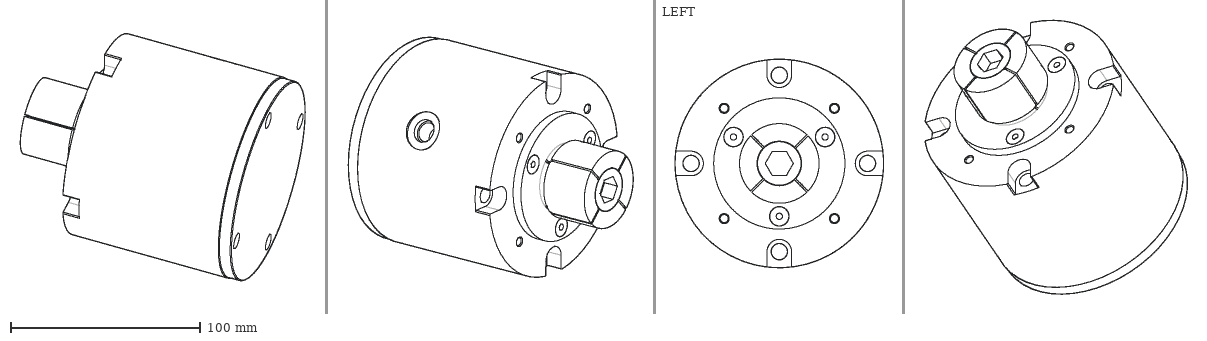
import cadquery as cq
import math

overall_length = 132.3
body_diameter = 110.2
nose_length = 27.1
neck_length = 4.6
flange_length = 5.3
cover_length = 6.6

body_radius = body_diameter / 2
nose_radius = 21.0
flange_radius = 34.7
cover_step = 0.46
cover_radius = body_radius - cover_step
cover_chamfer = 0.5

flange_face_x = -flange_length
nose_back_x = flange_face_x - neck_length
nose_face_x = nose_back_x - nose_length
body_back_x = nose_face_x + overall_length
body_end_x = body_back_x - cover_length

neck_radius = 16.1
neck_front_run = 2.1
neck_front_blend = 4.2
neck_rear_blend = neck_length - neck_front_run

slit_width = 0.9
slit_angles = [45, 135, 225, 315]
screw_bore_radius = 11.8
screw_head_radius = 11.5
screw_head_height = 10.6
socket_across_flats = 12.8
socket_depth = 8.6

flange_screw_circle_radius = 27.9
flange_screw_angles = [30, 150, 270]
flange_screw_bore_radius = 5.2
flange_screw_head_radius = 5.0
flange_screw_head_height = 4.0
flange_screw_socket_diameter = 3.3
flange_screw_socket_depth = 2.6

mount_circle_radius = 46.6
mount_hole_diameter = 8.5
mount_slot_width = 13.0
mount_slot_depth = 9.4
mount_slot_chamfer_width = 0.8
mount_slot_chamfer_height = 0.4
mount_angles = [0, 90, 180, 270]

tapped_hole_offset = 29.1
tapped_hole_radius = 2.1
tapped_hole_chamfer = 0.5
tapped_hole_depth = 10.6
drill_point_half_angle = 59

port_x = 50.3
port_elevation = 30
port_face_diameter = 20.8
port_face_radius = 53.9
port_diameter = 12.3
port_depth = 3.0
port_inner_diameter = 10.3
port_total_depth = 13.2

cut_clearance = 1.3


def face_plane(x):
    """Plane normal to the axis at x, looking towards +X: local x is Y, local y is Z."""
    return cq.Workplane(cq.Plane(origin=(x, 0, 0), xDir=(0, 1, 0), normal=(1, 0, 0)))


def polar_points(radius, angles):
    return [
        (radius * math.cos(math.radians(angle)), radius * math.sin(math.radians(angle)))
        for angle in angles
    ]


def turned_profile():
    """Half section of nose, neck, flange, body and rear cover, revolved about X."""
    neck_x = nose_back_x + neck_front_run
    neck_front_angle = math.asin(neck_front_run / neck_front_blend)

    def front_arc_point(angle):
        return (
            neck_x - neck_front_blend * math.sin(angle),
            neck_radius + neck_front_blend * (1 - math.cos(angle)),
        )

    half_quarter = math.cos(math.radians(45))
    rear_arc_middle = (
        neck_x + neck_rear_blend * half_quarter,
        neck_radius + neck_rear_blend * (1 - half_quarter),
    )
    return (
        cq.Workplane("XY")
        .moveTo(nose_face_x, 0)
        .lineTo(nose_face_x, nose_radius)
        .lineTo(nose_back_x, nose_radius)
        .lineTo(*front_arc_point(neck_front_angle))
        .threePointArc(front_arc_point(neck_front_angle / 2), (neck_x, neck_radius))
        .threePointArc(rear_arc_middle, (flange_face_x, neck_radius + neck_rear_blend))
        .lineTo(flange_face_x, flange_radius)
        .lineTo(0, flange_radius)
        .lineTo(0, body_radius)
        .lineTo(body_end_x - cover_step, body_radius)
        .lineTo(body_end_x, cover_radius)
        .lineTo(body_back_x - cover_chamfer, cover_radius)
        .lineTo(body_back_x, cover_radius - cover_chamfer)
        .lineTo(body_back_x, 0)
        .close()
        .revolve(360, (0, 0, 0), (1, 0, 0))
    )


def nose_slits():
    """Radial slits from the screw bore outwards, over the full length of nose and neck."""
    length = nose_length + neck_length
    outer_radius = nose_radius + cut_clearance
    centre_radius = (screw_head_radius + outer_radius) / 2
    slits = cq.Workplane("XY")
    for angle in slit_angles:
        slit = (
            face_plane(nose_face_x)
            .center(centre_radius, 0)
            .rect(outer_radius - screw_head_radius, slit_width)
            .extrude(length)
            .rotate((0, 0, 0), (1, 0, 0), angle)
        )
        slits = slits.add(slit)
    return slits.combine()


def clamping_screw():
    """Clearance ring around the screw head and the hexagon socket in it."""
    ring = (
        face_plane(nose_face_x)
        .circle(screw_bore_radius)
        .circle(screw_head_radius)
        .extrude(screw_head_height)
    )
    socket_across_corners = socket_across_flats / math.cos(math.radians(30))
    socket = face_plane(nose_face_x).polygon(6, socket_across_corners).extrude(socket_depth)
    return ring.union(socket)


def flange_screws():
    """Clearance rings and sockets of the flush screws."""
    centres = polar_points(flange_screw_circle_radius, flange_screw_angles)
    bores = (
        face_plane(flange_face_x)
        .pushPoints(centres)
        .circle(flange_screw_bore_radius)
        .extrude(flange_screw_head_height)
    )
    heads = (
        face_plane(flange_face_x)
        .pushPoints(centres)
        .circle(flange_screw_head_radius)
        .extrude(flange_screw_head_height)
    )
    sockets = (
        face_plane(flange_face_x)
        .pushPoints(centres)
        .circle(flange_screw_socket_diameter / 2)
        .extrude(flange_screw_socket_depth)
    )
    return bores.cut(heads).union(sockets)


def mounting_slots():
    """Round-ended slots with chamfered outer edges, each with a hole through the whole body."""
    half_width = mount_slot_width / 2
    flare_half_width = half_width + mount_slot_chamfer_width
    flare_top = math.sqrt(body_radius**2 - flare_half_width**2)
    flare_bottom = flare_top - mount_slot_chamfer_height
    outside = body_radius + cut_clearance
    slots = cq.Workplane("XY")
    for angle in mount_angles:
        slot = (
            face_plane(0)
            .moveTo(-half_width, mount_circle_radius)
            .threePointArc((0, mount_circle_radius - half_width), (half_width, mount_circle_radius))
            .lineTo(half_width, flare_bottom)
            .lineTo(flare_half_width, flare_top)
            .lineTo(flare_half_width, outside)
            .lineTo(-flare_half_width, outside)
            .lineTo(-flare_half_width, flare_top)
            .lineTo(-half_width, flare_bottom)
            .close()
            .extrude(mount_slot_depth)
        )
        hole = (
            face_plane(0)
            .center(0, mount_circle_radius)
            .circle(mount_hole_diameter / 2)
            .extrude(body_back_x)
        )
        slots = slots.add(slot.union(hole).rotate((0, 0, 0), (1, 0, 0), angle))
    return slots.combine()


def tapped_holes():
    """Chamfered blind holes with a drill point, one in each quadrant of the front face."""
    mouth_radius = tapped_hole_radius + tapped_hole_chamfer
    point_depth = tapped_hole_radius / math.tan(math.radians(drill_point_half_angle))
    hole = (
        cq.Workplane("XY")
        .polyline([
            (0, 0),
            (0, mouth_radius),
            (tapped_hole_chamfer, tapped_hole_radius),
            (tapped_hole_depth, tapped_hole_radius),
            (tapped_hole_depth + point_depth, 0),
        ])
        .close()
        .revolve(360, (0, 0, 0), (1, 0, 0))
    )
    holes = cq.Workplane("XY")
    for y in (-tapped_hole_offset, tapped_hole_offset):
        for z in (-tapped_hole_offset, tapped_hole_offset):
            holes = holes.add(hole.translate((0, y, z)))
    return holes.combine()


def cable_port():
    """Spot face and stepped bore on an inclined radial axis."""
    elevation = math.radians(port_elevation)
    outward = cq.Vector(0, math.cos(elevation), math.sin(elevation))
    seat = cq.Plane(
        origin=(outward * port_face_radius + cq.Vector(port_x, 0, 0)).toTuple(),
        xDir=(1, 0, 0),
        normal=outward.toTuple(),
    )
    spot_face_height = body_radius - port_face_radius + cut_clearance
    spot_face = cq.Workplane(seat).circle(port_face_diameter / 2).extrude(spot_face_height)
    bore = cq.Workplane(seat).circle(port_diameter / 2).extrude(-port_depth)
    inner_bore = cq.Workplane(seat).circle(port_inner_diameter / 2).extrude(-port_total_depth)
    return spot_face.union(bore).union(inner_bore)


result = (
    turned_profile()
    .cut(nose_slits())
    .cut(clamping_screw())
    .cut(flange_screws())
    .cut(mounting_slots())
    .cut(tapped_holes())
    .cut(cable_port())
)